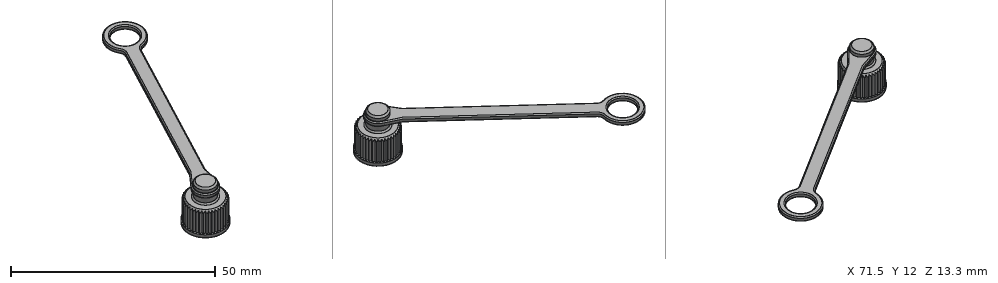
import cadquery as cq
import math

total_length = 71.5
total_height = 13.3

flange_radius = 6.0
flange_height = 1.0
crest_radius = 5.8
cap_height = 8.3
cap_bevel = 0.8
groove_count = 40
groove_depth = 0.5
first_crest_degrees = 2.9

neck_radius = 3.0
neck_foot_chamfer = 0.4
button_chamfer = 0.5

strap_bottom = 10.4
strap_thickness = 1.5
strap_width = 4.0
strap_chamfer = 0.32
ring_radius = 5.5
ring_to_cap = total_length - ring_radius - flange_radius
hole_diameter = 7.5
ring_neck_fillet = 2.0
head_radius = 3.5
head_taper_length = 6.0


def make_cap():
    """Flange and knurled grip with a bevelled top edge."""
    flange = cq.Workplane("XY").circle(flange_radius).extrude(flange_height)
    top_radius = crest_radius - cap_bevel
    profile = [
        (0, 0),
        (flange_radius, 0),
        (flange_radius, cap_height - (flange_radius - top_radius)),
        (top_radius, cap_height),
        (0, cap_height),
    ]
    blank = cq.Workplane("XZ").polyline(profile).close().revolve(360, (0, 0), (0, 1))
    return flange.union(make_knurl().intersect(blank))


def make_knurl():
    """Star-shaped prism with sharp crests and V-shaped grooves."""
    pitch_angle = 2 * math.pi / groove_count
    root_radius = crest_radius - groove_depth
    outline = []
    for index in range(groove_count):
        crest_angle = math.radians(first_crest_degrees) + index * pitch_angle
        root_angle = crest_angle + pitch_angle / 2
        outline.append((crest_radius * math.cos(crest_angle), crest_radius * math.sin(crest_angle)))
        outline.append((root_radius * math.cos(root_angle), root_radius * math.sin(root_angle)))
    return cq.Workplane("XY").polyline(outline).close().extrude(cap_height)


def make_neck():
    """Neck with a conical foot on the cap and a chamfered button end."""
    foot_radius = neck_radius + neck_foot_chamfer
    profile = [
        (0, cap_height),
        (foot_radius, cap_height),
        (neck_radius, cap_height + neck_foot_chamfer),
        (neck_radius, total_height - button_chamfer),
        (neck_radius - button_chamfer, total_height),
        (0, total_height),
    ]
    return cq.Workplane("XZ").polyline(profile).close().revolve(360, (0, 0), (0, 1))


def make_strap():
    """Flat strap from the ring to the head around the neck, chamfered all round."""
    half_width = strap_width / 2

    fillet_y = half_width + ring_neck_fillet
    centre_distance = ring_radius + ring_neck_fillet
    fillet_dx = math.sqrt(centre_distance**2 - fillet_y**2)
    strap_start_x = fillet_dx - ring_to_cap
    ring_tangent_x = fillet_dx * ring_radius / centre_distance - ring_to_cap
    ring_tangent_y = fillet_y * ring_radius / centre_distance

    corner_distance = math.hypot(head_taper_length, half_width)
    corner_angle = math.pi - math.atan2(half_width, head_taper_length)
    tangent_angle = corner_angle - math.acos(head_radius / corner_distance)
    head_tangent_x = head_radius * math.cos(tangent_angle)
    head_tangent_y = head_radius * math.sin(tangent_angle)

    strap = (
        cq.Workplane("XY", origin=(0, 0, strap_bottom))
        .moveTo(strap_start_x, half_width)
        .lineTo(-head_taper_length, half_width)
        .lineTo(head_tangent_x, head_tangent_y)
        .threePointArc((head_radius, 0), (head_tangent_x, -head_tangent_y))
        .lineTo(-head_taper_length, -half_width)
        .lineTo(strap_start_x, -half_width)
        .radiusArc((ring_tangent_x, -ring_tangent_y), -ring_neck_fillet)
        .threePointArc((-ring_to_cap - ring_radius, 0), (ring_tangent_x, ring_tangent_y))
        .radiusArc((strap_start_x, half_width), -ring_neck_fillet)
        .close()
        .extrude(strap_thickness)
    )
    hole = (
        cq.Workplane("XY", origin=(-ring_to_cap, 0, strap_bottom))
        .circle(hole_diameter / 2)
        .extrude(strap_thickness)
    )
    return strap.cut(hole).faces("|Z").edges().chamfer(strap_chamfer)


result = make_cap().union(make_neck()).union(make_strap())